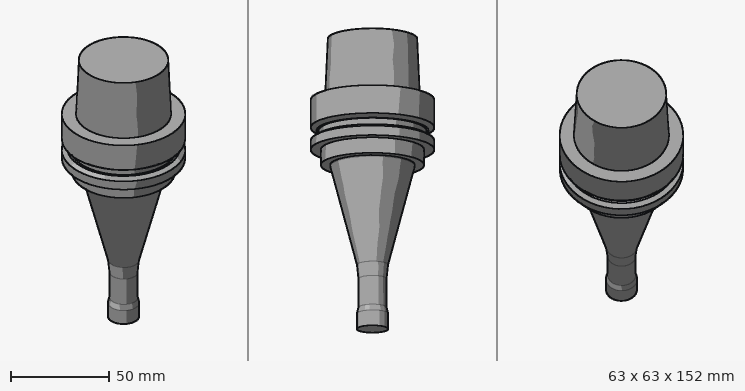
import cadquery as cq
import math

TOTAL_HEIGHT = 152.0
FLANGE_TOP_Z = 120.1
GROOVE_UPPER_EDGE_Z = 105.5
GROOVE_TOP_Z = 103.8
GROOVE_BOTTOM_Z = 100.3
GROOVE_LOWER_EDGE_Z = 98.8
FLANGE_BOTTOM_Z = 94.0
COLLAR_BOTTOM_Z = 85.9
CONE_TOP_Z = 85.5
CONE_BOTTOM_Z = 33.7
NECK_TOP_Z = 26.5
NECK_BOTTOM_Z = 11.4
TIP_TOP_Z = 8.2

TAPER_TOP_RADIUS = 45.6 / 2
TAPER_BASE_RADIUS = 48.5 / 2
FLANGE_RADIUS = 63.0 / 2
GROOVE_RADIUS = 55.0 / 2
COLLAR_RADIUS = 52.6 / 2
CONE_TOP_RADIUS = 43.2 / 2
CONE_BOTTOM_RADIUS = 16.0 / 2
NECK_RADIUS = 14.5 / 2
TIP_RADIUS = 16.0 / 2

GROOVE_BEVEL_ANGLE = math.radians(30)
upper_lip_radius = FLANGE_RADIUS - (GROOVE_UPPER_EDGE_Z - GROOVE_TOP_Z) / math.tan(GROOVE_BEVEL_ANGLE)
lower_lip_radius = FLANGE_RADIUS - (GROOVE_BOTTOM_Z - GROOVE_LOWER_EDGE_Z) / math.tan(GROOVE_BEVEL_ANGLE)

profile = (
    cq.Workplane("XZ")
    .lineTo(TIP_RADIUS, 0)
    .lineTo(TIP_RADIUS, TIP_TOP_Z)
    .lineTo(NECK_RADIUS, NECK_BOTTOM_Z)
    .lineTo(NECK_RADIUS, NECK_TOP_Z)
    .lineTo(CONE_BOTTOM_RADIUS, CONE_BOTTOM_Z)
    .lineTo(CONE_TOP_RADIUS, CONE_TOP_Z)
    .lineTo(CONE_TOP_RADIUS, COLLAR_BOTTOM_Z)
    .lineTo(COLLAR_RADIUS, COLLAR_BOTTOM_Z)
    .lineTo(COLLAR_RADIUS, FLANGE_BOTTOM_Z)
    .lineTo(FLANGE_RADIUS, FLANGE_BOTTOM_Z)
    .lineTo(FLANGE_RADIUS, GROOVE_LOWER_EDGE_Z)
    .lineTo(lower_lip_radius, GROOVE_BOTTOM_Z)
    .lineTo(GROOVE_RADIUS, GROOVE_BOTTOM_Z)
    .lineTo(GROOVE_RADIUS, GROOVE_TOP_Z)
    .lineTo(upper_lip_radius, GROOVE_TOP_Z)
    .lineTo(FLANGE_RADIUS, GROOVE_UPPER_EDGE_Z)
    .lineTo(FLANGE_RADIUS, FLANGE_TOP_Z)
    .lineTo(TAPER_BASE_RADIUS, FLANGE_TOP_Z)
    .lineTo(TAPER_TOP_RADIUS, TOTAL_HEIGHT)
    .lineTo(0, TOTAL_HEIGHT)
    .close()
)

result = profile.revolve(360, (0, 0, 0), (0, 1, 0))